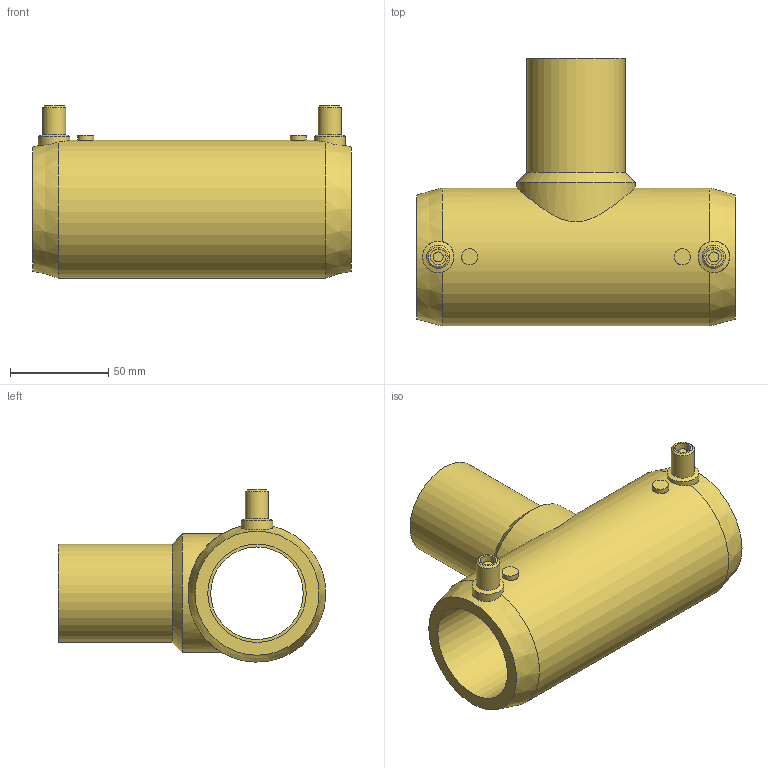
import cadquery as cq

sleeve_length = 162.0
sleeve_radius = 35.0
end_radius = 31.5
taper_length = 13.0
socket_radius = 25.0
stop_radius = 23.5
stop_width = 4.0

branch_end = 101.0
branch_radius = 25.0
collar_radius = 30.1
collar_end = 43.0
collar_chamfer = collar_radius - branch_radius

terminal_x = 70.0
terminal_top = 52.5
flange_radius = 8.0
flange_edge = 37.0
flange_top = 37.8
stem_radius = 5.9
stem_chamfer = 0.9
well_radius = 4.0
well_depth = 13.0
pin_radius = 2.5
pin_recess = 2.5

button_x = 54.0
button_radius = 4.1
button_top = 37.5


def make_sleeve():
    """Solid tube blank with both ends tapered."""
    half = sleeve_length / 2
    shoulder = half - taper_length
    profile = [
        (-half, 0),
        (-half, end_radius),
        (-shoulder, sleeve_radius),
        (shoulder, sleeve_radius),
        (half, end_radius),
        (half, 0),
    ]
    return cq.Workplane("XY").polyline(profile).close().revolve(360, (0, 0), (1, 0))


def make_branch():
    """Spigot with a conical-shouldered collar at the sleeve."""
    profile = [
        (0, 0),
        (collar_radius, 0),
        (collar_radius, collar_end - collar_chamfer),
        (branch_radius, collar_end),
        (branch_radius, branch_end),
        (0, branch_end),
    ]
    return cq.Workplane("XY").polyline(profile).close().revolve(360, (0, 0), (0, 1))


def z_cylinder(x, radius, bottom, top):
    """Upright cylinder centred over the sleeve axis at x."""
    return cq.Workplane("XY", origin=(x, 0, bottom)).circle(radius).extrude(top - bottom)


def make_terminal(x):
    """Shroud on a flange with a sloping top, around a central contact pin."""
    root = (socket_radius + end_radius) / 2
    flange_profile = [
        (0, root),
        (flange_radius, root),
        (flange_radius, flange_edge),
        (stem_radius, flange_top),
        (0, flange_top),
    ]
    flange = (
        cq.Workplane("XZ", origin=(x, 0, 0))
        .polyline(flange_profile)
        .close()
        .revolve(360, (0, 0), (0, 1))
    )
    stem = z_cylinder(x, stem_radius, root, terminal_top).faces(">Z").chamfer(stem_chamfer)
    well = z_cylinder(x, well_radius, terminal_top - well_depth, terminal_top)
    pin = z_cylinder(x, pin_radius, root, terminal_top - pin_recess)
    return flange.union(stem).cut(well).union(pin)


def x_cylinder(radius, start, end):
    """Cylinder on the sleeve axis between two x positions."""
    return cq.Workplane("YZ", origin=(start, 0, 0)).circle(radius).extrude(end - start)


def make_bore():
    """Two sockets separated by a narrow central stop ring."""
    half = sleeve_length / 2
    bore = x_cylinder(stop_radius, -half, half)
    for start, end in ((-half, -stop_width / 2), (stop_width / 2, half)):
        bore = bore.union(x_cylinder(socket_radius, start, end))
    return bore


result = make_sleeve().union(make_branch()).cut(make_bore())
for side in (-1, 1):
    result = result.union(make_terminal(side * terminal_x))
    result = result.union(z_cylinder(side * button_x, button_radius, end_radius, button_top))